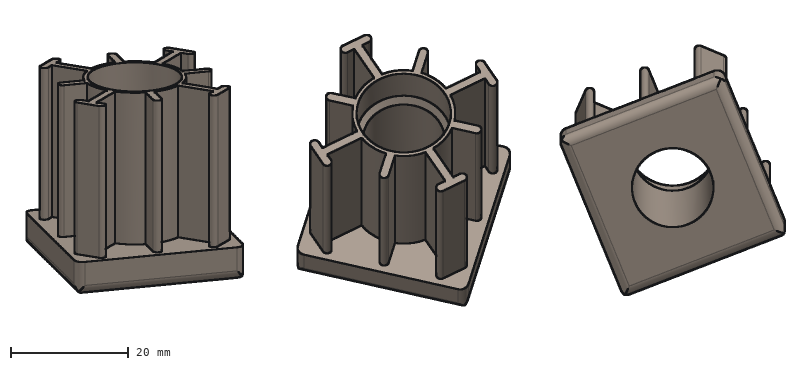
import cadquery as cq

plate_side = 30.0
plate_height = 5.95
corner_radius = 1.5
bottom_radius = 1.75

total_height = 33.0
insert_height = total_height - plate_height
tube_diameter = 17.5

rib_thickness = 1.6
straight_rib_reach = 13.62
bar_length = 5.77
bar_center_distance = 16.23

bore_diameter = 16.0
hole_diameter = 13.82
bore_depth = 6.8
seat_height = (bore_diameter - hole_diameter) / 2


def make_plate():
    """Cap with a rounded lower rim whose four upright corners are then trimmed round."""
    block = cq.Workplane("XY").box(plate_side, plate_side, plate_height, centered=(True, True, False))
    block = block.faces("<Z").edges().fillet(bottom_radius)
    rounded_prism = (
        cq.Workplane("XY")
        .box(plate_side, plate_side, plate_height, centered=(True, True, False))
        .edges("|Z")
        .fillet(corner_radius)
    )
    return block.intersect(rounded_prism)


def on_plate():
    return cq.Workplane("XY").workplane(offset=plate_height)


def make_straight_rib_pair():
    """Round-ended wall across the axis, forming two opposite ribs along X."""
    return on_plate().slot2D(2 * straight_rib_reach, rib_thickness).extrude(insert_height)


def make_t_rib_pair():
    """Wall across the axis along X, with a round-ended crossbar at each end."""
    ribs = on_plate().rect(2 * bar_center_distance, rib_thickness).extrude(insert_height)
    bars = (
        on_plate()
        .pushPoints([(-bar_center_distance, 0), (bar_center_distance, 0)])
        .slot2D(bar_length, rib_thickness, 90)
        .extrude(insert_height)
    )
    return ribs.union(bars)


def make_bore():
    """Half profile of the stepped through bore, revolved about Z."""
    seat_top = total_height - bore_depth
    return (
        cq.Workplane("XZ")
        .moveTo(0, 0)
        .lineTo(hole_diameter / 2, 0)
        .lineTo(hole_diameter / 2, seat_top - seat_height)
        .lineTo(bore_diameter / 2, seat_top)
        .lineTo(bore_diameter / 2, total_height)
        .lineTo(0, total_height)
        .close()
        .revolve(360, (0, 0), (0, 1))
    )


tube = on_plate().circle(tube_diameter / 2).extrude(insert_height)
body = make_plate().union(tube)
for angle in (0, 90):
    body = body.union(make_straight_rib_pair().rotate((0, 0, 0), (0, 0, 1), angle))
    body = body.union(make_t_rib_pair().rotate((0, 0, 0), (0, 0, 1), angle + 45))

result = body.cut(make_bore())